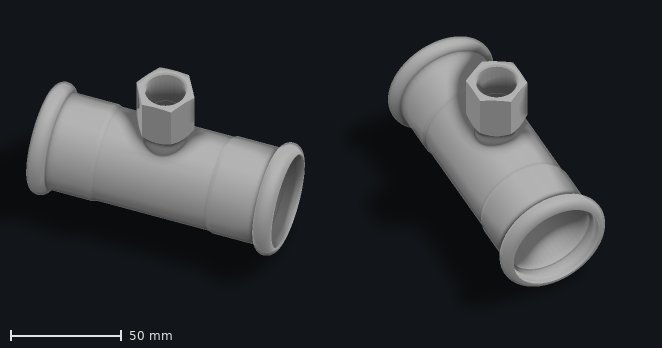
import cadquery as cq
import math

length = 117.3
bead_diameter = 52.7
bead_section_radius = 9.0 / 2
socket_radius = 45.4 / 2
body_radius = 44.0 / 2
bore_radius = 41.0 / 2
socket_end = 29.8
body_start = 31.9

mouth_radius = 44.0 / 2
seat_radius = 42.7 / 2
seat_inner_radius = 42.3 / 2
mouth_depth = 1.8
seat_start = 3.2
seat_end = 6.0
taper_end = 8.1
bore_start = 8.3

overall_height = 80.4
branch_top = overall_height - bead_diameter / 2
hex_across_flats = 24.0
neck_radius = 20.0 / 2
hex_corner_length = 22.0
top_chamfer_drop = 0.5
cone_fillet = 1.4
root_fillet = 0.6
selection_margin = 1.2

entry_radius = 20.0 / 2
thread_top_radius = 18.7 / 2
thread_bottom_radius = 17.6 / 2
port_radius = 17.0 / 2
thread_length = 16.9

bead_centre_radius = bead_diameter / 2 - bead_section_radius
hex_corner_radius = hex_across_flats / math.sqrt(3)


def bead_end_x(radius):
    """Distance from the tube end to the inboard side of the bead at a radius."""
    rise = radius - bead_centre_radius
    return bead_section_radius + math.sqrt(bead_section_radius**2 - rise**2)


def revolve_about_x(profile):
    return profile.close().revolve(360, (0, 0, 0), (1, 0, 0))


def revolve_about_z(profile):
    return profile.close().revolve(360, (0, 0, 0), (0, 1, 0))


def half_tube():
    """Outside of the left half, from the tube end to the middle."""
    end = -length / 2
    profile = (
        cq.Workplane("XY")
        .moveTo(end, 0)
        .lineTo(end, mouth_radius)
        .threePointArc((end + bead_section_radius, bead_diameter / 2),
                       (end + bead_end_x(socket_radius), socket_radius))
        .lineTo(end + socket_end, socket_radius)
        .lineTo(end + body_start, body_radius)
        .lineTo(0, body_radius)
        .lineTo(0, 0)
    )
    return revolve_about_x(profile)


def half_bore():
    """Space inside the left half, including the stepped mouth."""
    end = -length / 2
    profile = (
        cq.Workplane("XY")
        .moveTo(end, 0)
        .lineTo(end, mouth_radius)
        .lineTo(end + mouth_depth, mouth_radius)
        .lineTo(end + seat_start, seat_radius)
        .lineTo(end + seat_end, seat_radius)
        .lineTo(end + taper_end, seat_inner_radius)
        .lineTo(end + bore_start, bore_radius)
        .lineTo(0, bore_radius)
        .lineTo(0, 0)
    )
    return revolve_about_x(profile)


def mirrored_pair(half):
    return half.union(half.mirror("YZ"))


def tube_with_neck():
    """Run tube with a round branch stub, blended by a root fillet."""
    tube = mirrored_pair(half_tube())
    stub = cq.Workplane("XY").circle(neck_radius).extrude(branch_top - hex_corner_length)
    joined = tube.union(stub)
    reach = neck_radius + selection_margin
    root_box = cq.selectors.BoxSelector(
        (-reach, -reach, body_radius / 2),
        (reach, reach, body_radius + selection_margin),
        boundingbox=True,
    )
    return joined.edges(root_box).fillet(root_fillet)


def hex_head():
    """Hexagon trimmed by a shallow cone on top and a filleted 45 degree cone below."""
    cone_top = branch_top - hex_corner_length
    cone_bottom = cone_top - (hex_corner_radius - neck_radius)
    fillet_setback = cone_fillet * math.tan(math.pi / 8)
    head_bottom = cone_bottom - fillet_setback
    cone_setback = fillet_setback / math.sqrt(2)
    arc_centre_radius = neck_radius + cone_fillet
    arc_middle = (
        arc_centre_radius - cone_fillet * math.cos(math.pi / 8),
        head_bottom + cone_fillet * math.sin(math.pi / 8),
    )
    hexagon = (
        cq.Workplane("XY", origin=(0, 0, head_bottom))
        .polygon(6, 2 * hex_corner_radius)
        .extrude(branch_top - head_bottom)
    )
    profile = (
        cq.Workplane("XZ")
        .moveTo(0, head_bottom)
        .lineTo(neck_radius, head_bottom)
        .threePointArc(arc_middle, (neck_radius + cone_setback, cone_bottom + cone_setback))
        .lineTo(hex_corner_radius, cone_top)
        .lineTo(hex_corner_radius, branch_top - top_chamfer_drop)
        .lineTo(hex_across_flats / 2, branch_top)
        .lineTo(0, branch_top)
    )
    return hexagon.intersect(revolve_about_z(profile))


def branch_bore():
    """Entry chamfer, tapered thread bore and port into the run tube."""
    chamfer_bottom = branch_top - (entry_radius - thread_top_radius)
    thread_bottom = chamfer_bottom - thread_length
    profile = (
        cq.Workplane("XZ")
        .moveTo(0, branch_top)
        .lineTo(entry_radius, branch_top)
        .lineTo(thread_top_radius, chamfer_bottom)
        .lineTo(thread_bottom_radius, thread_bottom)
        .lineTo(port_radius, thread_bottom)
        .lineTo(port_radius, 0)
        .lineTo(0, 0)
    )
    return revolve_about_z(profile)


result = tube_with_neck().union(hex_head()).cut(mirrored_pair(half_bore())).cut(branch_bore())